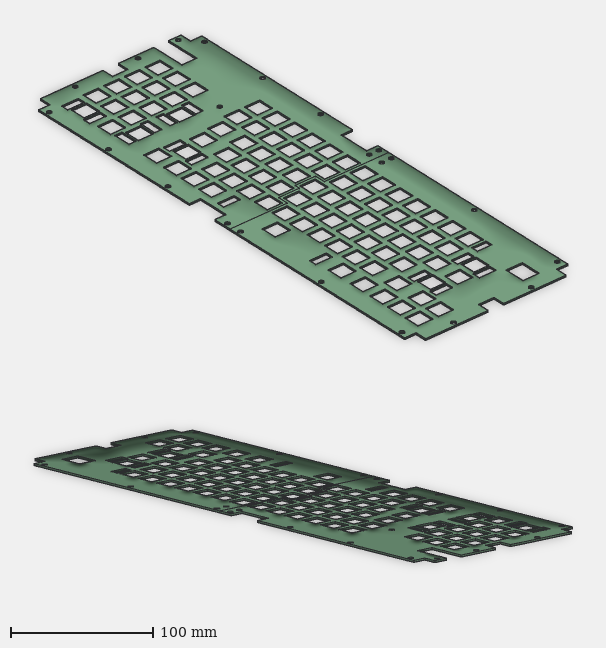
import cadquery as cq

LENGTH = 418.0
WIDTH = 151.0
THICKNESS = 1.5

CORNER_NOTCH = 10.5
SIDE_NOTCH_WIDTH = 14.2
EDGE_NOTCH_WIDTH = 27.5
EDGE_NOTCH_X = -21.5
SIDE_SLOT_LENGTH = 30.5
SIDE_SLOT_WIDTH = 14.0
SIDE_SLOT_Y = 47.0

GRID_LENGTH = 371.5
LAST_COLUMN = 19.5
PITCH = GRID_LENGTH / LAST_COLUMN
GRID_CENTER_X = -0.5
FIRST_COLUMN_X = GRID_CENTER_X - GRID_LENGTH / 2
TOP_ROW_Y = 44.5

KEY_GAP = 5.0
KEY_SIZE = PITCH - KEY_GAP

NUMPAD_COLUMNS = [0, 1, 2]
TALL_KEY_COLUMN = 3
TALL_KEY_ROWS = [2.5, 4.5]


def run_of_keys(first, count):
    """Columns of neighbouring one-pitch keys."""
    return [first + i for i in range(count)]


KEY_ROWS = [
    run_of_keys(4.5, 13),
    NUMPAD_COLUMNS + run_of_keys(4.5, 13) + [18],
    NUMPAD_COLUMNS + [4.75] + run_of_keys(6, 12) + [18.25],
    NUMPAD_COLUMNS + [4.875] + run_of_keys(6.25, 11) + [17.875],
    NUMPAD_COLUMNS + [5.125] + run_of_keys(6.75, 10) + [17.125, 18.5, 19.5],
    [0.5, 2, 4.625] + run_of_keys(5.75, 3) + [11.375, 15.125, 16.375, 17.5, 18.5, 19.5],
]

STABILIZER_WIDTH = 6.5
STABILIZER_LENGTH = 15.5
STABILIZER_SHIFT = 1.3
WIDE_KEY_SPACING = 24.0
SPACE_BAR_SPACING = 100.0

STABILIZED_KEYS = [
    (18, 1, WIDE_KEY_SPACING),
    (17.875, 3, WIDE_KEY_SPACING),
    (5.125, 4, WIDE_KEY_SPACING),
    (0.5, 5, WIDE_KEY_SPACING),
    (11.375, 5, SPACE_BAR_SPACING),
]

WINDOW_X = 185.5
WINDOW_Y = 44.7
WINDOW_LENGTH = 18.5
WINDOW_WIDTH = 15.0

SMALL_SLOT_X = 141.3
SMALL_SLOT_Y = 44.7
SMALL_SLOT_LENGTH = 6.3
SMALL_SLOT_WIDTH = 13.5

SCREW_DIAMETER = 4.0
SCREW_EDGE_Y = 72.0
SCREW_EDGE_X = 205.2
SCREW_CORNER_X = 191.5
SEAM_SCREW_Y = 63.0
TOP_LEFT_SEAM_X = -2.5
TOP_RIGHT_SEAM_X = 11.3
BOTTOM_LEFT_SEAM_X = 2.0
BOTTOM_RIGHT_SEAM_X = 16.5
LEFT_EDGE_SCREWS_Y = [59.5, 22.0, -36.0]
RIGHT_EDGE_SCREWS_Y = [36.0, -36.0]
INNER_SCREW = (-119.0, 24.2)

SEAM_COLUMNS = [10, 9.5, 9.75, 10.25]
SEAM_STEP_ROWS = [1.5, 2.5, 3.5]


def column_x(column):
    return FIRST_COLUMN_X + column * PITCH


def row_y(row):
    return TOP_ROW_Y - row * PITCH


def box_at(x, y, length, width):
    """Block through the plate thickness, centred on (x, y)."""
    return cq.Workplane("XY").center(x, y).rect(length, width).extrude(THICKNESS)


def rectangles_at(points, length, width):
    return cq.Workplane("XY").pushPoints(points).rect(length, width).extrude(THICKNESS)


def evenly_spaced(first, last, count):
    step = (last - first) / (count - 1)
    return [first + i * step for i in range(count)]


def plate_blank():
    """Plate outline with its corner steps, edge notches and open slot."""
    blank = box_at(0, 0, LENGTH, WIDTH)
    for side in (-1, 1):
        for end in (-1, 1):
            corner = box_at(end * LENGTH / 2, side * WIDTH / 2, 2 * CORNER_NOTCH, 2 * CORNER_NOTCH)
            blank = blank.cut(corner)
        blank = blank.cut(box_at(side * LENGTH / 2, 0, 2 * CORNER_NOTCH, SIDE_NOTCH_WIDTH))
        blank = blank.cut(box_at(EDGE_NOTCH_X, side * WIDTH / 2, EDGE_NOTCH_WIDTH, 2 * CORNER_NOTCH))
    return blank.cut(box_at(-LENGTH / 2, SIDE_SLOT_Y, 2 * SIDE_SLOT_LENGTH, SIDE_SLOT_WIDTH))


def key_cutouts():
    points = [(column_x(c), row_y(row)) for row, columns in enumerate(KEY_ROWS) for c in columns]
    points += [(column_x(TALL_KEY_COLUMN), row_y(row)) for row in TALL_KEY_ROWS]
    return rectangles_at(points, KEY_SIZE, KEY_SIZE)


def wide_key_stabilizers():
    """Upright slots left and right of the wide keys."""
    points = []
    for column, row, spacing in STABILIZED_KEYS:
        for side in (-1, 1):
            points.append((column_x(column) + side * spacing / 2, row_y(row) - STABILIZER_SHIFT))
    return rectangles_at(points, STABILIZER_WIDTH, STABILIZER_LENGTH)


def tall_key_stabilizers():
    """Lying slots above and below the tall keys."""
    x = column_x(TALL_KEY_COLUMN) - STABILIZER_SHIFT
    points = [(x, row_y(row) + side * WIDE_KEY_SPACING / 2) for row in TALL_KEY_ROWS for side in (-1, 1)]
    return rectangles_at(points, STABILIZER_LENGTH, STABILIZER_WIDTH)


def screw_holes():
    top_x = evenly_spaced(-SCREW_CORNER_X, TOP_LEFT_SEAM_X, 4)
    top_x += evenly_spaced(TOP_RIGHT_SEAM_X, SCREW_CORNER_X, 3)
    bottom_x = evenly_spaced(-SCREW_CORNER_X, BOTTOM_LEFT_SEAM_X, 4)
    bottom_x += evenly_spaced(BOTTOM_RIGHT_SEAM_X, SCREW_CORNER_X, 3)
    points = [(x, SCREW_EDGE_Y) for x in top_x]
    points += [(x, -SCREW_EDGE_Y) for x in bottom_x]
    points += [(x, SEAM_SCREW_Y) for x in (TOP_LEFT_SEAM_X, TOP_RIGHT_SEAM_X)]
    points += [(-SCREW_EDGE_X, y) for y in LEFT_EDGE_SCREWS_Y]
    points += [(SCREW_EDGE_X, y) for y in RIGHT_EDGE_SCREWS_Y]
    points.append(INNER_SCREW)
    return cq.Workplane("XY").pushPoints(points).circle(SCREW_DIAMETER / 2).extrude(THICKNESS)


def whole_plate():
    """Both halves in one piece, with every opening."""
    return (
        plate_blank()
        .cut(key_cutouts())
        .cut(wide_key_stabilizers())
        .cut(tall_key_stabilizers())
        .cut(box_at(WINDOW_X, WINDOW_Y, WINDOW_LENGTH, WINDOW_WIDTH))
        .cut(box_at(SMALL_SLOT_X, SMALL_SLOT_Y, SMALL_SLOT_LENGTH, SMALL_SLOT_WIDTH))
        .cut(screw_holes())
    )


def left_of_seam():
    """Block that covers everything left of the stepped seam."""
    levels = [WIDTH / 2] + [row_y(row) for row in SEAM_STEP_ROWS] + [-WIDTH / 2]
    seam = []
    for column, upper, lower in zip(SEAM_COLUMNS, levels[:-1], levels[1:]):
        seam.append((column_x(column), upper))
        seam.append((column_x(column), lower))
    outline = [(-LENGTH / 2, WIDTH / 2)] + seam + [(-LENGTH / 2, -WIDTH / 2)]
    return cq.Workplane("XY").polyline(outline).close().extrude(THICKNESS)


def left_plate(plate):
    return plate.intersect(left_of_seam()).solids()


def right_plate(plate):
    return plate.cut(left_of_seam()).solids()


plate = whole_plate()
left = left_plate(plate)
right = right_plate(plate)

result = cq.Compound.makeCompound([left.val(), right.val()])